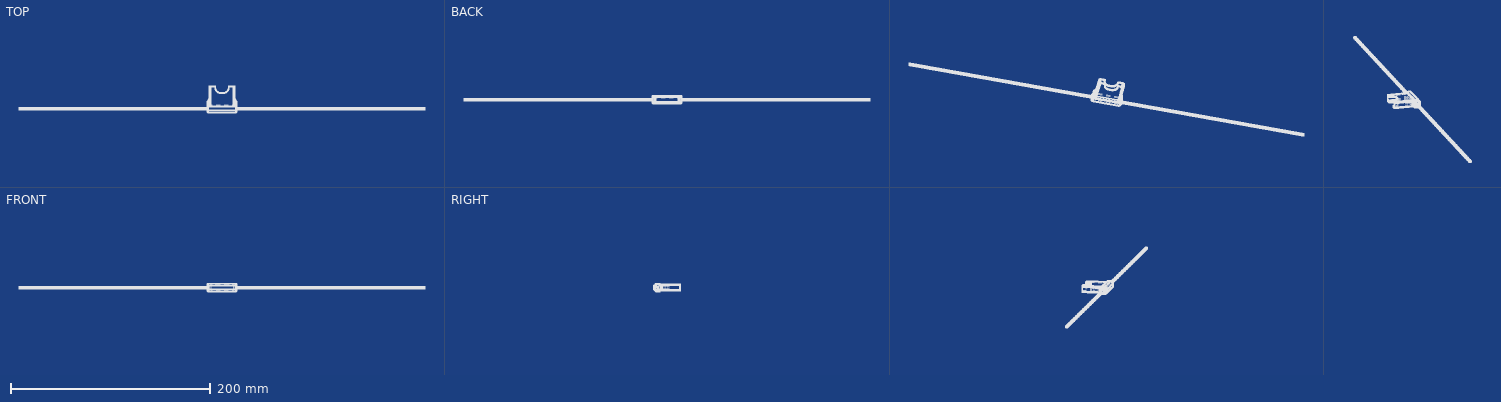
import cadquery as cq
import math

overall_length = 406.5
wire_diameter = 2.0

base_across_flats = 8.0
base_length = 30.0
base_end_chamfer = 1.2
wire_axis_y = base_across_flats / 2

holder_height = 26.5
socket_width = 25.5
socket_thickness = 7.0
socket_chamfer = 1.2

slot_width = 22.5
slot_height = 5.0

notch_width = 13.5
notch_depth = 6.5
notch_corner_radius = 5.3

barb_projection = 2.0
barb_thickness = 5.0
barb_chamfer = 0.55
barb_hook_y = 8.5
barb_land_length = 2.0
barb_ramp_angle = 30.0
barb_blend_radius = 3.0
barb_foot_length = 2.0


def octagonal_base():
    sides = 8
    corner_diameter = base_across_flats / math.cos(math.pi / sides)
    half_side_angle = 180.0 / sides
    bar = (
        cq.Workplane("YZ")
        .center(wire_axis_y, 0)
        .transformed(rotate=(0, 0, half_side_angle))
        .polygon(sides, corner_diameter)
        .extrude(base_length / 2, both=True)
    )
    return bar.faces("<X or >X").chamfer(base_end_chamfer)


def slot():
    return (
        cq.Workplane("XZ", origin=(0, base_across_flats, 0))
        .rect(slot_width, slot_height)
        .extrude(base_across_flats - holder_height)
    )


def finger_notch():
    return (
        cq.Workplane("XY")
        .center(0, holder_height)
        .rect(notch_width, 2 * notch_depth)
        .extrude(socket_thickness, both=True)
        .edges("|Z and <Y")
        .fillet(notch_corner_radius)
    )


def socket():
    block = (
        cq.Workplane("XZ", origin=(0, wire_axis_y, 0))
        .rect(socket_width, socket_thickness)
        .extrude(wire_axis_y - holder_height)
        .edges("|Y")
        .chamfer(socket_chamfer)
    )
    return block.cut(slot()).cut(finger_notch())


def snap_barb():
    side_x = socket_width / 2
    root_x = side_x - socket_chamfer
    tip_x = side_x + barb_projection
    crest_y = barb_hook_y + barb_land_length
    foot_y = crest_y + barb_projection / math.tan(math.radians(barb_ramp_angle))
    foot_end_y = foot_y + barb_foot_length
    outline = [
        (root_x, barb_hook_y),
        (tip_x, barb_hook_y),
        (tip_x, crest_y),
        (side_x, foot_y),
        (side_x, foot_end_y),
        (root_x, foot_end_y),
    ]
    crest_and_foot = cq.selectors.BoxSelector(
        (root_x, (barb_hook_y + crest_y) / 2, -barb_thickness),
        (2 * tip_x, (foot_y + foot_end_y) / 2, barb_thickness),
    )
    barb = (
        cq.Workplane("XY")
        .polyline(outline)
        .close()
        .extrude(barb_thickness / 2, both=True)
        .edges("|Z")
        .edges(crest_and_foot)
        .fillet(barb_blend_radius)
    )
    return barb.faces(">X").edges("|Y").chamfer(barb_chamfer)


def holder():
    barb = snap_barb()
    return octagonal_base().union(socket()).union(barb).union(barb.mirror("YZ"))


def wire(side):
    start = base_length / 2
    return (
        cq.Workplane("YZ")
        .workplane(offset=side * start)
        .center(wire_axis_y, 0)
        .circle(wire_diameter / 2)
        .extrude(side * (overall_length / 2 - start))
    )


wires = [wire(side) for side in (-1, 1)]
result = cq.Compound.makeCompound([holder().val(), *[each.val() for each in wires]])